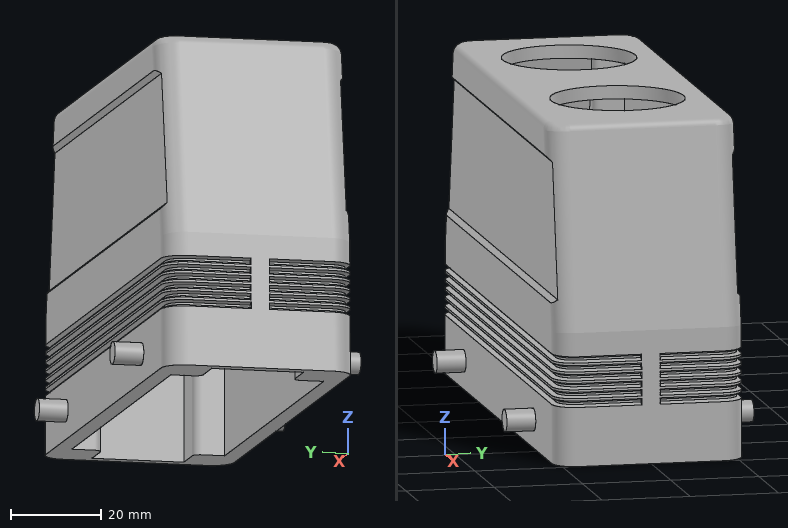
import cadquery as cq
import math

LENGTH = 120.0
WIDTH = 43.0
HEIGHT = 76.0
BEND_HEIGHT = 30.0
BEND_LENGTH = 119.0
TOP_LENGTH = 102.5
CORNER_RADIUS = 5.0
TOP_EDGE_RADIUS = 2.4
WALL = 3.0

RECESS_DEPTH = 1.1
RECESS_BOTTOM = 36.0
RECESS_TOP = 68.2

GROOVE_COUNT = 6
GROOVE_BAND_BOTTOM = 13.3
GROOVE_BAND_HEIGHT = 11.4
GROOVE_DEPTH = 1.1
GROOVE_MOUTH = 1.5
GROOVE_FLOOR = 0.5
GROOVE_BRIDGE = 4.2

ENTRY_DIAMETER = 30.0
ENTRY_SPACING = 49.9
PIN_DIAMETER = 5.0
PIN_SPACING = 72.0
PIN_HEIGHT = 6.5
PIN_SPAN = 56.0

COLUMN_SPACING = 94.3
COLUMN_WIDTH = 7.0
COLUMN_RADIUS = 1.8

CAVITY_WIDTH = WIDTH - 2 * RECESS_DEPTH - 2 * WALL
CAVITY_HEIGHT = HEIGHT - WALL
GROOVE_PITCH = (GROOVE_BAND_HEIGHT - GROOVE_MOUTH) / (GROOVE_COUNT - 1)
FIRST_GROOVE_HEIGHT = GROOVE_BAND_BOTTOM + GROOVE_MOUTH / 2
SLOPE = (BEND_LENGTH - TOP_LENGTH) / 2 / (HEIGHT - BEND_HEIGHT)


def end_profile_prism(inset, height, width):
    """Symmetric X-Z outline with drafted and sloping ends, extruded along Y."""
    bottom = LENGTH / 2 - inset
    bend = BEND_LENGTH / 2 - inset
    top = bend - SLOPE * (height - BEND_HEIGHT)
    points = [
        (-bottom, 0),
        (bottom, 0),
        (bend, BEND_HEIGHT),
        (top, height),
        (-top, height),
        (-bend, BEND_HEIGHT),
    ]
    return cq.Workplane("XZ").polyline(points).close().extrude(width / 2, both=True)


def outer_body():
    body = end_profile_prism(0, HEIGHT, WIDTH)
    body = body.edges("not #Z").fillet(CORNER_RADIUS)
    return body.faces(">Z").edges().fillet(TOP_EDGE_RADIUS)


def side_recess(side):
    """Recess cutter for the long side at side * Y, with 45 degree upper and lower edges."""
    outer = WIDTH / 2
    inner = outer - RECESS_DEPTH
    points = [
        (side * outer, RECESS_BOTTOM),
        (side * inner, RECESS_BOTTOM + RECESS_DEPTH),
        (side * inner, RECESS_TOP - RECESS_DEPTH),
        (side * outer, RECESS_TOP),
    ]
    return cq.Workplane("YZ").polyline(points).close().extrude(LENGTH / 2, both=True)


def rounded_block(length, width, radius, bottom, height, taper=0):
    """Rectangular block with rounded vertical corners, narrowing upwards by the taper angle."""
    return (
        cq.Workplane("XY", origin=(0, 0, bottom))
        .sketch()
        .rect(length, width)
        .vertices()
        .fillet(radius)
        .finalize()
        .extrude(height, taper=taper)
    )


def grip_groove(center_height):
    """Trapezoidal groove ring around the hood, interrupted at both ends."""
    length = LENGTH - (LENGTH - BEND_LENGTH) * center_height / BEND_HEIGHT
    flank = (GROOVE_MOUTH - GROOVE_FLOOR) / 2
    taper = math.degrees(math.atan2(GROOVE_DEPTH, flank))
    bottom = center_height - GROOVE_MOUTH / 2

    lower_half = rounded_block(length, WIDTH, CORNER_RADIUS, bottom, flank, taper)
    upper_half = lower_half.mirror("XY", (0, 0, center_height))
    core = rounded_block(
        length - 2 * GROOVE_DEPTH,
        WIDTH - 2 * GROOVE_DEPTH,
        CORNER_RADIUS - GROOVE_DEPTH,
        bottom,
        GROOVE_MOUTH,
    )
    bridge = cq.Workplane("XY").box(2 * LENGTH, GROOVE_BRIDGE, 2 * HEIGHT)
    slab = cq.Workplane("XY", origin=(0, 0, center_height)).box(2 * LENGTH, 2 * WIDTH, GROOVE_MOUTH)
    return slab.cut(core).cut(lower_half).cut(upper_half).cut(bridge)


def cavity():
    """Inner space, open at the bottom, leaving a column in each corner."""
    space = end_profile_prism(WALL, CAVITY_HEIGHT, CAVITY_WIDTH)
    column_length = (LENGTH - COLUMN_SPACING) / 2
    inner_edge = cq.NearestToPointSelector((0, 0, HEIGHT / 2))
    for x_side in (-1, 1):
        for y_side in (-1, 1):
            x = x_side * (LENGTH + COLUMN_SPACING) / 4
            y = y_side * (CAVITY_WIDTH - COLUMN_WIDTH) / 2
            column = cq.Workplane("XY").center(x, y).rect(column_length, COLUMN_WIDTH).extrude(HEIGHT)
            space = space.cut(column.edges("|Z").edges(inner_edge).fillet(COLUMN_RADIUS))
    return space


def cable_entries():
    points = [(-ENTRY_SPACING / 2, 0), (ENTRY_SPACING / 2, 0)]
    top = cq.Workplane("XY", origin=(0, 0, HEIGHT)).pushPoints(points)
    return top.circle(ENTRY_DIAMETER / 2).extrude(-2 * WALL)


def locking_pins():
    points = [(-PIN_SPACING / 2, PIN_HEIGHT), (PIN_SPACING / 2, PIN_HEIGHT)]
    pins = cq.Workplane("XZ").pushPoints(points).circle(PIN_DIAMETER / 2)
    return pins.extrude(PIN_SPAN / 2, both=True)


hood = outer_body()
for side in (-1, 1):
    hood = hood.cut(side_recess(side))
for index in range(GROOVE_COUNT):
    hood = hood.cut(grip_groove(FIRST_GROOVE_HEIGHT + index * GROOVE_PITCH))

result = hood.union(locking_pins()).cut(cavity()).cut(cable_entries())